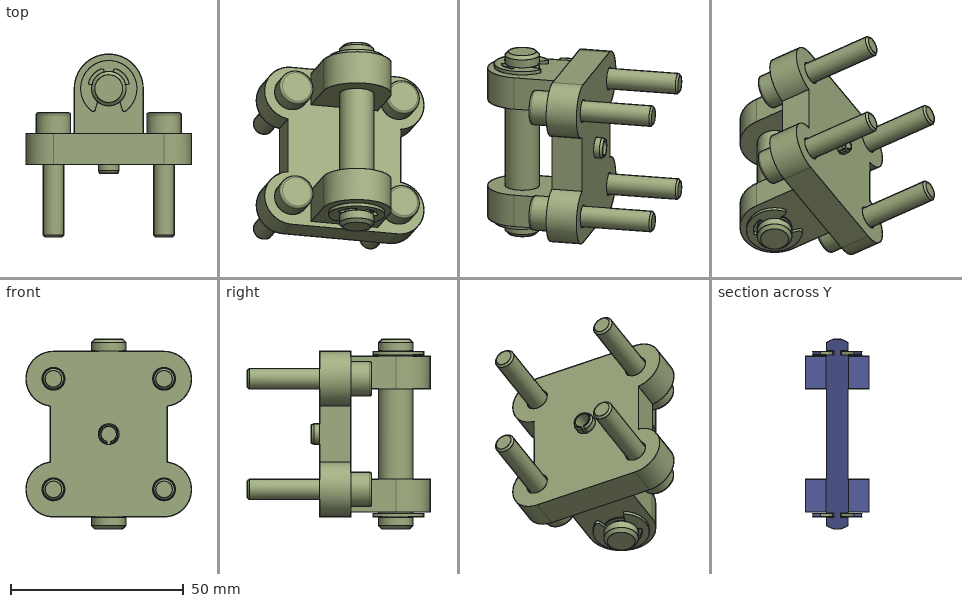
import cadquery as cq
import math


PLATE_THICKNESS = 9.0
LOBE_RADIUS = 8.0
SCREW_OFFSET = 16.0
WAIST_HALF_WIDTH = 17.0
SCREW_HOLE_DIAMETER = 6.6

LUG_RADIUS = 10.0
LUG_REACH = 13.0
LUG_THICKNESS = 9.5
LUG_GAP = 26.1
HINGE_Y = PLATE_THICKNESS + LUG_REACH
LUG_OUTER_Z = LUG_GAP / 2 + LUG_THICKNESS

PIN_DIAMETER = 10.0
PIN_LENGTH = 55.0
PIN_CHAMFER = 1.0
GROOVE_DIAMETER = 8.0
GROOVE_WIDTH = 1.15
GROOVE_START_Z = LUG_OUTER_Z + 0.4

CLIP_RADIUS = 8.15
CLIP_THICKNESS = 1.0
CLIP_RELIEF_RADIUS = 6.1
CLIP_RELIEF_TOP_FILLET = 0.55
CLIP_RELIEF_SIDE_FILLET = 0.4
CLIP_TOP_TOOTH_HALF_WIDTH = 1.45
CLIP_SIDE_TOOTH_TOP = 1.2
CLIP_MOUTH_HALF_WIDTH = 2.15
CLIP_MOUTH_FLARE = 16.0
CLIP_TIP_FILLET = 0.65

SHANK_DIAMETER = 6.0
SHANK_PROJECTION = 21.0
SHANK_CHAMFER = 0.6
HEAD_DIAMETER = 10.0
HEAD_HEIGHT = 6.0
HEAD_FILLET = 0.65
UNDER_HEAD_FILLET = 0.15

SPRING_PIN_DIAMETER = 6.0
SPRING_PIN_WALL = 0.75
SPRING_PIN_PROJECTION = 2.55
SPRING_PIN_DEPTH = 5.5
SPRING_PIN_SLOT = 0.95
SPRING_PIN_CHAMFER_LENGTH = 0.8
SPRING_PIN_CHAMFER_RADIAL = 0.4

SCREW_POSITIONS = [(x, z) for x in (-SCREW_OFFSET, SCREW_OFFSET) for z in (-SCREW_OFFSET, SCREW_OFFSET)]


def xz_plane(y):
    """Sketch plane at the given y, with local axes X and Z and its normal toward -Y."""
    return cq.Workplane("XZ", origin=(0, y, 0))


def make_plate():
    """Plate with four rounded lobes joined by a narrower waist."""
    lobes = (
        xz_plane(PLATE_THICKNESS)
        .pushPoints(SCREW_POSITIONS)
        .circle(LOBE_RADIUS)
        .extrude(PLATE_THICKNESS)
    )
    half_height = SCREW_OFFSET + LOBE_RADIUS
    centre = xz_plane(PLATE_THICKNESS).rect(2 * SCREW_OFFSET, 2 * half_height).extrude(PLATE_THICKNESS)
    waist = xz_plane(PLATE_THICKNESS).rect(2 * WAIST_HALF_WIDTH, 2 * SCREW_OFFSET).extrude(PLATE_THICKNESS)
    return centre.union(waist).union(lobes)


def make_lug(bottom_z):
    """Round-ended lug reaching from the plate's back to around the hinge axis."""
    return (
        cq.Workplane("XY", origin=(0, 0, bottom_z))
        .moveTo(-LUG_RADIUS, PLATE_THICKNESS)
        .lineTo(-LUG_RADIUS, HINGE_Y)
        .threePointArc((0, HINGE_Y + LUG_RADIUS), (LUG_RADIUS, HINGE_Y))
        .lineTo(LUG_RADIUS, PLATE_THICKNESS)
        .close()
        .extrude(LUG_THICKNESS)
    )


def make_bracket():
    body = make_plate()
    for bottom_z in (LUG_GAP / 2, -LUG_OUTER_Z):
        body = body.union(make_lug(bottom_z))
    screw_holes = (
        xz_plane(PLATE_THICKNESS)
        .pushPoints(SCREW_POSITIONS)
        .circle(SCREW_HOLE_DIAMETER / 2)
        .extrude(PLATE_THICKNESS)
    )
    spring_pin_hole = xz_plane(SPRING_PIN_DEPTH).circle(SPRING_PIN_DIAMETER / 2).extrude(SPRING_PIN_DEPTH)
    hinge_hole = (
        cq.Workplane("XY", origin=(0, HINGE_Y, -LUG_OUTER_Z))
        .circle(PIN_DIAMETER / 2)
        .extrude(2 * LUG_OUTER_Z)
    )
    return body.cut(screw_holes).cut(spring_pin_hole).cut(hinge_hole)


def make_hinge_pin():
    """Round pin with chamfered ends and a clip groove beyond each lug."""
    pin = (
        cq.Workplane("XY", origin=(0, HINGE_Y, -PIN_LENGTH / 2))
        .circle(PIN_DIAMETER / 2)
        .extrude(PIN_LENGTH)
        .faces("<Z or >Z")
        .chamfer(PIN_CHAMFER)
    )
    for groove_bottom in (GROOVE_START_Z, -GROOVE_START_Z - GROOVE_WIDTH):
        groove = (
            cq.Workplane("XY", origin=(0, HINGE_Y, groove_bottom))
            .circle(PIN_DIAMETER / 2)
            .circle(GROOVE_DIAMETER / 2)
            .extrude(GROOVE_WIDTH)
        )
        pin = pin.cut(groove)
    return pin


def make_clip(bottom_z):
    """E-shaped clip gripping the groove with three teeth, its mouth open toward the plate."""
    base = cq.Workplane("XY", origin=(0, HINGE_Y, bottom_z))
    ring = base.circle(CLIP_RADIUS).extrude(CLIP_THICKNESS)

    mouth_half_width = CLIP_MOUTH_HALF_WIDTH + CLIP_RADIUS * math.tan(math.radians(CLIP_MOUTH_FLARE))
    mouth = (
        base.moveTo(-CLIP_MOUTH_HALF_WIDTH, 0)
        .lineTo(CLIP_MOUTH_HALF_WIDTH, 0)
        .lineTo(mouth_half_width, -CLIP_RADIUS)
        .lineTo(-mouth_half_width, -CLIP_RADIUS)
        .close()
        .extrude(CLIP_THICKNESS)
    )
    clip = ring.cut(mouth).edges("|Z and <Y").fillet(CLIP_TIP_FILLET)
    clip = clip.cut(base.circle(GROOVE_DIAMETER / 2).extrude(CLIP_THICKNESS))

    relief_disc = base.circle(CLIP_RELIEF_RADIUS).extrude(CLIP_THICKNESS)
    for side in (-1, 1):
        quadrant = (
            base.moveTo(side * CLIP_TOP_TOOTH_HALF_WIDTH, CLIP_SIDE_TOOTH_TOP)
            .lineTo(side * CLIP_RELIEF_RADIUS, CLIP_SIDE_TOOTH_TOP)
            .lineTo(side * CLIP_RELIEF_RADIUS, CLIP_RELIEF_RADIUS)
            .lineTo(side * CLIP_TOP_TOOTH_HALF_WIDTH, CLIP_RELIEF_RADIUS)
            .close()
            .extrude(CLIP_THICKNESS)
        )
        side_corner = "|Z and >X" if side > 0 else "|Z and <X"
        relief = (
            relief_disc.intersect(quadrant)
            .edges("|Z and >Y")
            .fillet(CLIP_RELIEF_TOP_FILLET)
            .edges(side_corner)
            .fillet(CLIP_RELIEF_SIDE_FILLET)
        )
        clip = clip.cut(relief)
    return clip


def make_screw(x, z):
    """Cap screw seated on the plate's back, its shank projecting through the mounting face."""
    head = (
        xz_plane(PLATE_THICKNESS + HEAD_HEIGHT)
        .center(x, z)
        .circle(HEAD_DIAMETER / 2)
        .extrude(HEAD_HEIGHT)
        .faces(">Y")
        .edges()
        .fillet(HEAD_FILLET)
    )
    shank = (
        xz_plane(PLATE_THICKNESS)
        .center(x, z)
        .circle(SHANK_DIAMETER / 2)
        .extrude(PLATE_THICKNESS + SHANK_PROJECTION)
        .faces("<Y")
        .chamfer(SHANK_CHAMFER)
    )
    seat_centre = cq.selectors.NearestToPointSelector((x, PLATE_THICKNESS, z))
    smallest_circle = cq.selectors.RadiusNthSelector(0)
    return head.union(shank).faces(seat_centre).edges(smallest_circle).fillet(UNDER_HEAD_FILLET)


def make_spring_pin():
    """Tube with a lengthwise slot on its lower side and a tapered outer end."""
    length = SPRING_PIN_DEPTH + SPRING_PIN_PROJECTION
    radius = SPRING_PIN_DIAMETER / 2
    base = xz_plane(SPRING_PIN_DEPTH)
    body = (
        base.circle(radius)
        .extrude(length)
        .faces("<Y")
        .edges()
        .chamfer(SPRING_PIN_CHAMFER_LENGTH, SPRING_PIN_CHAMFER_RADIAL)
    )
    bore = base.circle(radius - SPRING_PIN_WALL).extrude(length)
    slot = base.center(0, -radius / 2).rect(SPRING_PIN_SLOT, radius).extrude(length)
    return body.cut(bore).cut(slot)


bracket = make_bracket()
hinge_pin = make_hinge_pin()
clips = [make_clip(z) for z in (GROOVE_START_Z, -GROOVE_START_Z - CLIP_THICKNESS)]
screws = [make_screw(x, z) for x, z in SCREW_POSITIONS]
spring_pin = make_spring_pin()

bodies = [bracket, hinge_pin, *clips, *screws, spring_pin]
result = cq.Compound.makeCompound([body.solids().val() for body in bodies])